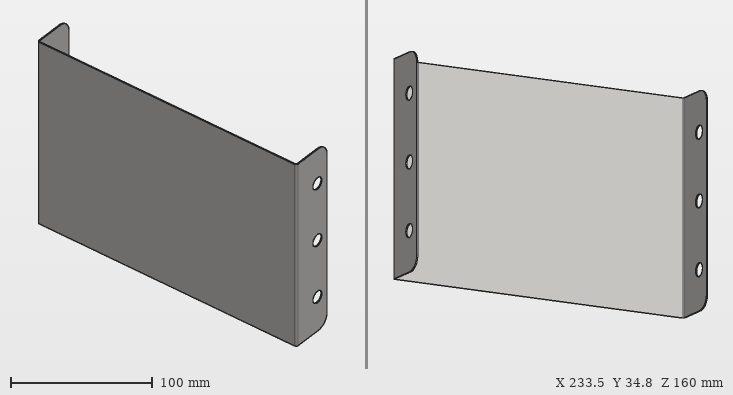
import cadquery as cq

width = 233.5
depth = 34.8
height = 160.0

thickness = 1.0
bend_outer_radius = 1.8
bend_inner_radius = bend_outer_radius - thickness

corner_radius = 10.0
hole_diameter = 10.0
hole_spacing = 50.0
hole_edge_distance = 11.0


def channel():
    """U-shaped sheet: front panel with a flange bent back at each end."""
    outer = (
        cq.Workplane("XY")
        .box(width, depth, height, centered=(True, False, True))
        .edges("|Z and <Y")
        .fillet(bend_outer_radius)
    )
    inner = (
        cq.Workplane("XY")
        .box(width - 2 * thickness, depth, height, centered=(True, False, True))
        .edges("|Z and <Y")
        .fillet(bend_inner_radius)
        .translate((0, thickness, 0))
    )
    return outer.cut(inner)


def flange_holes():
    """Column of round holes running through both flanges."""
    hole_y = depth - hole_edge_distance
    centres = [(hole_y, step * hole_spacing) for step in (-1, 0, 1)]
    return (
        cq.Workplane("YZ")
        .pushPoints(centres)
        .circle(hole_diameter / 2)
        .extrude(width / 2, both=True)
    )


rounded_channel = channel().faces(">Y").edges("|X").fillet(corner_radius)
result = rounded_channel.cut(flange_holes())